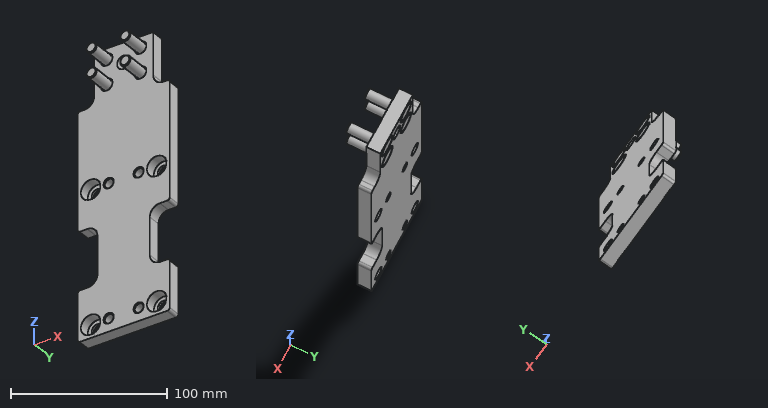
import cadquery as cq

plate_height = 214.0
plate_width = 71.0
plate_thickness = 10.0
tab_width = 45.5
tab_height = 40.2
waist_width = 40.5
waist_bottom = 39.0
waist_top = 83.0
tab_bottom = plate_height - tab_height
corner_radius = 2.0
inner_radius = 7.7

clearance_diameter = 9.0
counterbore_diameter = 15.0
counterbore_depth = 8.0

thread_diameter = 8.0
thread_core_diameter = 6.6
thread_chamfer = (thread_diameter - thread_core_diameter) / 2

mount_rows = (10.0, 112.0)
mount_offset = 25.5
threaded_offset = 11.5
tab_hole_diameter = 10.0
tab_hole_height = 199.0
screw_rows = (186.6, 205.5)
screw_offset = 13.0

screw_protrusion = 18.0
head_diameter = 13.0
head_height = counterbore_depth
head_seat = plate_thickness - counterbore_depth


def mirrored(offset, rows):
    """The (x, z) places on both sides of the centre plane, in each row."""
    return [(side * offset, z) for z in rows for side in (-1, 1)]


def cylinders(places, diameter, start, end):
    """Round bars along Y, from y = start to y = end, at the given (x, z) places."""
    front = cq.Workplane("XZ", origin=(0, start, 0))
    return front.pushPoints(places).circle(diameter / 2).extrude(start - end)


def mouth_cones(places):
    """Chamfers that open the threaded holes at the front face."""
    front = cq.Workplane("XZ").pushPoints(places).circle(thread_diameter / 2)
    return front.extrude(-thread_chamfer, taper=45)


def plate_blank():
    """Plate outline with its rounded corners, before any holes."""
    half_plate = plate_width / 2
    half_waist = waist_width / 2
    half_tab = tab_width / 2
    right_side = [
        (half_plate, 0),
        (half_plate, waist_bottom),
        (half_waist, waist_bottom),
        (half_waist, waist_top),
        (half_plate, waist_top),
        (half_plate, tab_bottom),
        (half_tab, tab_bottom),
        (half_tab, plate_height),
    ]
    left_side = [(-x, z) for x, z in reversed(right_side)]
    blank = cq.Workplane("XZ").polyline(right_side + left_side).close().extrude(-plate_thickness)

    def corners(places):
        """Edges along Y at (x, z) places on both sides."""
        middle = plate_thickness / 2
        edges = cq.Workplane(obj=blank.val()).edges("|Y")
        wanted = []
        for x, z in places:
            for side in (-1, 1):
                wanted += edges.edges(cq.NearestToPointSelector((side * x, middle, z))).vals()
        return wanted

    blank = blank.newObject(corners([right_side[i] for i in (0, 1, 4, 5)])).fillet(corner_radius)
    return blank.newObject(corners([right_side[i] for i in (2, 3, 6)])).fillet(inner_radius)


def make_plate():
    mount_places = mirrored(mount_offset, mount_rows)
    threaded_places = mirrored(threaded_offset, mount_rows)
    screw_places = mirrored(screw_offset, screw_rows)
    plate = plate_blank()

    plate = plate.cut(cylinders(mount_places, clearance_diameter, 0, plate_thickness))
    plate = plate.cut(cylinders(mount_places, counterbore_diameter, 0, counterbore_depth))

    plate = plate.cut(cylinders(threaded_places, thread_core_diameter, 0, plate_thickness))
    plate = plate.cut(mouth_cones(threaded_places))

    plate = plate.cut(cylinders([(0, tab_hole_height)], tab_hole_diameter, 0, plate_thickness))

    plate = plate.cut(cylinders(screw_places, clearance_diameter, 0, plate_thickness))
    return plate.cut(cylinders(screw_places, counterbore_diameter, head_seat, plate_thickness))


def make_screw(place):
    """Screw with a round head and a shank chamfered down to the thread core."""
    shank = cylinders([place], thread_diameter, -screw_protrusion, head_seat)
    shank = shank.faces("<Y").chamfer(thread_chamfer)
    head = cylinders([place], head_diameter, head_seat, head_seat + head_height)
    return shank.union(head)


plate = make_plate()
screws = [make_screw(place) for place in mirrored(screw_offset, screw_rows)]

result = cq.Compound.makeCompound([plate.solids().val(), *[screw.solids().val() for screw in screws]])